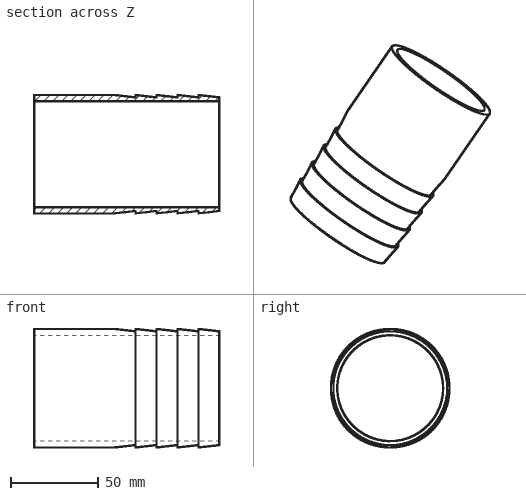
import cadquery as cq

total_length = 106.0
outer_diameter = 68.0
bore_diameter = 60.5

barb_count = 5
plain_length = 46.0
barb_end_diameter = 65.3
barb_length = (total_length - plain_length) / barb_count

outer_radius = outer_diameter / 2
bore_radius = bore_diameter / 2
barb_end_radius = barb_end_diameter / 2


def half_section():
    """Wall section in the XY plane, to be revolved about the X axis."""
    section = cq.Workplane("XY").moveTo(0, bore_radius).lineTo(0, outer_radius)
    for index in range(barb_count):
        barb_start = plain_length + index * barb_length
        section = section.lineTo(barb_start, outer_radius)
        section = section.lineTo(barb_start + barb_length, barb_end_radius)
    return section.lineTo(total_length, bore_radius).close()


result = half_section().revolve(360, (0, 0, 0), (1, 0, 0))